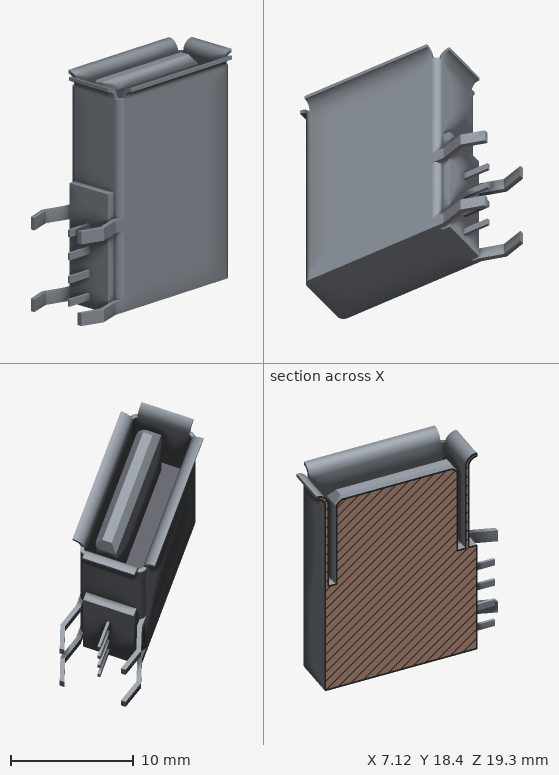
import cadquery as cq
import math

SHELL_X = 5.7
SHELL_Y = 13.09
WALL = 0.3
CORNER_RADIUS = 0.6
TOTAL_HEIGHT = 19.3

LIP_OVERHANG = 0.71
LIP_OUTER_RADIUS = LIP_OVERHANG + WALL
RIM_Z = TOTAL_HEIGHT - LIP_OUTER_RADIUS

INSULATOR_HEIGHT = 10.23
PAD_WIDTH = 4.35
PAD_PROUD = 0.71
PAD_FRONT_Y = -SHELL_Y / 2 - PAD_PROUD

TONGUE_LEFT_X = -1.87
TONGUE_RIGHT_X = 0.05
TONGUE_LENGTH = 11.15
TONGUE_TOP_Z = 18.74
TIP_HEIGHT = 0.8
TIP_INSET = 0.56
TONGUE_CORNER_RADIUS = 0.65

PIN_COUNT = 4
PIN_PITCH = 1.99
PIN_THICKNESS = 0.23
PIN_HEIGHT = 0.6
FIRST_PIN_Z = 0.98
PIN_LENGTH = 2.35

LEG_THICKNESS = 0.4
LEG_HEIGHT = 1.08
LEG_BASES_Z = (0.0, 7.0)
LEG_KINK = 0.64
LEG_BEND_Y = -7.1
LEG_KINK_Y = -9.13
LEG_TIP_Y = -11.12


def make_filled_shell():
    outer = cq.Workplane("XY").rect(SHELL_X, SHELL_Y).extrude(RIM_Z)
    outer = outer.edges("|Z").fillet(CORNER_RADIUS)
    cavity = cq.Workplane("XY").workplane(offset=INSULATOR_HEIGHT)
    cavity = cavity.rect(SHELL_X - 2 * WALL, SHELL_Y - 2 * WALL).extrude(RIM_Z - INSULATOR_HEIGHT)
    cavity = cavity.edges("|Z").fillet(CORNER_RADIUS - WALL)
    return outer.cut(cavity)


def make_lip(half_span, wall_length):
    """Lip on the +X side of a wall whose outer face lies at x = half_span."""
    centre_x = half_span + LIP_OVERHANG
    diagonal = math.sqrt(0.5)
    outer_mid = LIP_OUTER_RADIUS * diagonal
    inner_mid = LIP_OVERHANG * diagonal
    length = wall_length - 2 * CORNER_RADIUS
    return (
        cq.Workplane("XZ")
        .moveTo(half_span - WALL, RIM_Z)
        .threePointArc((centre_x - outer_mid, RIM_Z + outer_mid), (centre_x, TOTAL_HEIGHT))
        .lineTo(centre_x, RIM_Z + LIP_OVERHANG)
        .threePointArc((centre_x - inner_mid, RIM_Z + inner_mid), (half_span, RIM_Z))
        .close()
        .extrude(length / 2, both=True)
    )


def make_pad():
    depth = PAD_PROUD + WALL
    pad = cq.Workplane("XY").box(PAD_WIDTH, depth, INSULATOR_HEIGHT, centered=(True, False, False))
    return pad.translate((0, PAD_FRONT_Y, 0))


def make_tongue():
    width = TONGUE_RIGHT_X - TONGUE_LEFT_X
    blade_height = TONGUE_TOP_Z - TIP_HEIGHT - INSULATOR_HEIGHT
    blade = (
        cq.Workplane("XY")
        .workplane(offset=INSULATOR_HEIGHT)
        .center(TONGUE_LEFT_X + width / 2, 0)
        .rect(width, TONGUE_LENGTH)
        .extrude(blade_height)
        .edges("|Z and <X")
        .fillet(TONGUE_CORNER_RADIUS)
    )
    taper = math.degrees(math.atan2(TIP_INSET, TIP_HEIGHT))
    tip_outline = blade.faces(">Z").wires().toPending().workplane()
    tip = tip_outline.extrude(TIP_HEIGHT, taper=taper, combine=False)
    return blade.union(tip)


def make_pin(centre_z):
    pin = cq.Workplane("XY").box(PIN_THICKNESS, PIN_LENGTH, PIN_HEIGHT)
    return pin.translate((0, PAD_FRONT_Y - PIN_LENGTH / 2, centre_z))


def make_leg(base_z):
    """Leg on the +X side."""
    outer_x = SHELL_X / 2
    inner_x = outer_x - LEG_THICKNESS
    root_y = CORNER_RADIUS - SHELL_Y / 2
    return (
        cq.Workplane("XY")
        .workplane(offset=base_z)
        .moveTo(outer_x, root_y)
        .lineTo(outer_x, LEG_BEND_Y)
        .lineTo(outer_x + LEG_KINK, LEG_KINK_Y)
        .lineTo(outer_x, LEG_TIP_Y)
        .lineTo(inner_x, LEG_TIP_Y)
        .lineTo(inner_x + LEG_KINK, LEG_KINK_Y)
        .lineTo(inner_x, LEG_BEND_Y)
        .lineTo(inner_x, root_y)
        .close()
        .extrude(LEG_HEIGHT)
    )


result = make_filled_shell().union(make_pad()).union(make_tongue())

side_lip = make_lip(SHELL_X / 2, SHELL_Y)
end_lip = make_lip(SHELL_Y / 2, SHELL_X).rotate((0, 0, 0), (0, 0, 1), 90)
result = result.union(side_lip).union(side_lip.mirror("YZ"))
result = result.union(end_lip).union(end_lip.mirror("XZ"))

for pin_index in range(PIN_COUNT):
    result = result.union(make_pin(FIRST_PIN_Z + pin_index * PIN_PITCH))

for leg_base_z in LEG_BASES_Z:
    leg = make_leg(leg_base_z)
    result = result.union(leg).union(leg.mirror("YZ"))